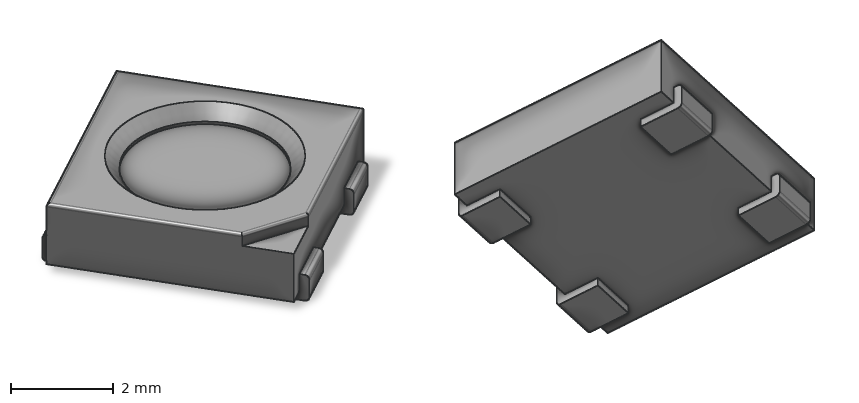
import cadquery as cq

overall_length = 5.4
overall_height = 1.6
body_side = 5.0
lead_thickness = 0.2
body_height = overall_height - lead_thickness
top_edge_fillet = 0.065

mark_leg = 1.05
mark_depth = 0.28

well_top_diameter = 3.9
well_floor_diameter = 3.33
cone_depth = 0.285
bore_depth = 0.065

lead_width = 1.0
lead_foot_length = 1.0
lead_height = 0.6
lead_bend_radius = 0.095
lead_offset_y = 1.6


def make_body():
    """Square block with a stepped corner and rounded top edges."""
    half = body_side / 2
    block = cq.Workplane("XY").workplane(offset=lead_thickness).rect(body_side, body_side).extrude(body_height)
    corner = (
        cq.Workplane("XY")
        .workplane(offset=overall_height - mark_depth)
        .moveTo(half, -half)
        .lineTo(half, -half + mark_leg)
        .lineTo(half - mark_leg, -half)
        .close()
        .extrude(mark_depth)
    )
    return block.cut(corner).faces(">Z").edges().fillet(top_edge_fillet)


def make_well():
    """Cutter for the light well, revolved about the Z axis."""
    cone_bottom = overall_height - cone_depth
    floor = cone_bottom - bore_depth
    return (
        cq.Workplane("XZ")
        .moveTo(0, floor)
        .lineTo(well_floor_diameter / 2, floor)
        .lineTo(well_floor_diameter / 2, cone_bottom)
        .lineTo(well_top_diameter / 2, overall_height)
        .lineTo(0, overall_height)
        .close()
        .revolve(360, (0, 0, 0), (0, 1, 0))
    )


def make_lead(side, center_y):
    """L-shaped lead on the side (+1 or -1) of the X axis, rounded outside."""
    outer_x = side * overall_length / 2
    wall_x = side * body_side / 2
    foot_end_x = outer_x - side * lead_foot_length
    lead = (
        cq.Workplane("XZ", origin=(0, center_y, 0))
        .moveTo(foot_end_x, 0)
        .lineTo(outer_x, 0)
        .lineTo(outer_x, lead_height)
        .lineTo(wall_x, lead_height)
        .lineTo(wall_x, lead_thickness)
        .lineTo(foot_end_x, lead_thickness)
        .close()
        .extrude(lead_width / 2, both=True)
    )
    outer_face = ">X" if side > 0 else "<X"
    return lead.faces(outer_face).edges("|Y").fillet(lead_bend_radius)


result = make_body().cut(make_well())
for side in (-1, 1):
    for center_y in (-lead_offset_y, lead_offset_y):
        result = result.union(make_lead(side, center_y))